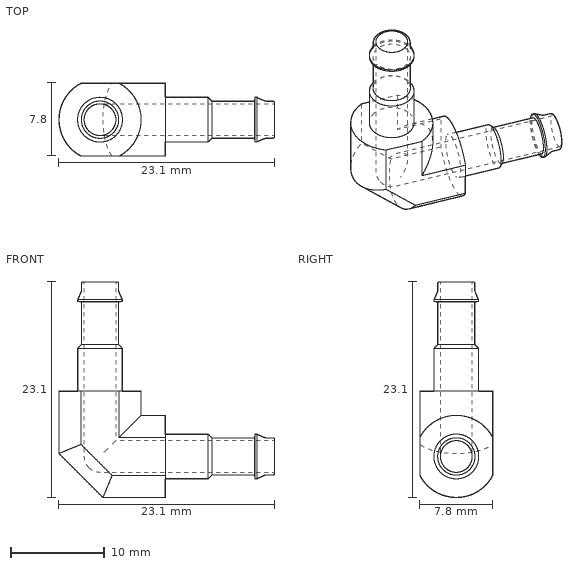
import cadquery as cq
import math

LEG_REACH = 23.1
BODY_DIAMETER = 8.8
BODY_WIDTH = 7.8
BODY_LENGTH = 11.39
CORNER_CUT = 4.71
BORE_DIAMETER = 3.4

COLLAR_DIAMETER = 4.8
COLLAR_END = 16.38
TUBE_DIAMETER = 4.0
BARB_DIAMETER = 4.8
BARB_FRONT = 1.02
BARB_CREST = 1.92
BARB_BACK = 2.1
BARB_FOOT = 2.17
BARB_BLEND = 0.5
TIP_ROUND = 0.2

AXIS = BODY_DIAMETER / 2
TUBE_RADIUS = TUBE_DIAMETER / 2
COLLAR_RADIUS = COLLAR_DIAMETER / 2
BARB_RADIUS = BARB_DIAMETER / 2
COLLAR_CHAMFER = COLLAR_RADIUS - TUBE_RADIUS


def swap_legs(shape):
    """Mirror a shape about the plane X = Z, exchanging the two legs."""
    return shape.mirror(cq.Vector(1, 0, -1))


def body_bar(start, direction, length, outline):
    """Flatted round bar, clipped to an outline in the XZ plane."""
    bar = cq.Solid.makeCylinder(AXIS, length, cq.Vector(*start), cq.Vector(*direction))
    clip = cq.Workplane("XZ").polyline(outline).close().extrude(BODY_WIDTH / 2, both=True)
    return clip.intersect(cq.Workplane(bar))


def make_body():
    """Two legs mitred together and to a diagonal bar at the outer corner."""
    diagonal_sum = CORNER_CUT + AXIS * math.sqrt(2)
    axis_crossing = diagonal_sum - AXIS
    upright = body_bar(
        (AXIS, 0, 0),
        (0, 0, 1),
        BODY_LENGTH,
        [
            (0, CORNER_CUT),
            (0, BODY_LENGTH),
            (BODY_DIAMETER, BODY_LENGTH),
            (BODY_DIAMETER, BODY_DIAMETER),
            (diagonal_sum / 2, diagonal_sum / 2),
            (AXIS, axis_crossing),
        ],
    )
    diagonal = body_bar(
        (-BODY_LENGTH, 0, diagonal_sum + BODY_LENGTH),
        (1, 0, -1),
        4 * BODY_LENGTH,
        [(0, CORNER_CUT), (AXIS, axis_crossing), (axis_crossing, AXIS), (CORNER_CUT, 0)],
    )
    level = cq.Workplane(swap_legs(upright.val()))
    return upright.union(level).union(diagonal)


def make_nozzle():
    """Upright nozzle: chamfered collar, tube, barb and rounded tip."""
    cone_angle = math.atan2(BARB_RADIUS - TUBE_RADIUS, BARB_CREST - BARB_FRONT)
    blend_length = BARB_BLEND * math.tan(cone_angle / 2)
    blend_center = (TUBE_RADIUS + BARB_BLEND, LEG_REACH - BARB_FRONT + blend_length)

    def blend_point(angle):
        return (
            blend_center[0] - BARB_BLEND * math.cos(angle),
            blend_center[1] - BARB_BLEND * math.sin(angle),
        )

    diagonal_inset = TIP_ROUND * (1 - math.sqrt(0.5))
    profile = (
        cq.Workplane("XZ")
        .moveTo(0, BODY_LENGTH)
        .lineTo(COLLAR_RADIUS, BODY_LENGTH)
        .lineTo(COLLAR_RADIUS, COLLAR_END - COLLAR_CHAMFER)
        .lineTo(TUBE_RADIUS, COLLAR_END)
        .lineTo(TUBE_RADIUS, LEG_REACH - BARB_FOOT)
        .lineTo(BARB_RADIUS, LEG_REACH - BARB_BACK)
        .lineTo(BARB_RADIUS, LEG_REACH - BARB_CREST)
        .lineTo(*blend_point(cone_angle))
        .threePointArc(blend_point(cone_angle / 2), blend_point(0))
        .lineTo(TUBE_RADIUS, LEG_REACH - TIP_ROUND)
        .threePointArc(
            (TUBE_RADIUS - diagonal_inset, LEG_REACH - diagonal_inset),
            (TUBE_RADIUS - TIP_ROUND, LEG_REACH),
        )
        .lineTo(0, LEG_REACH)
        .close()
    )
    return profile.revolve(360, (0, 0), (0, 1)).translate((AXIS, 0, 0))


def make_bore():
    """Bores along both leg axes, joined by a ball at the elbow."""
    radius = BORE_DIAMETER / 2
    upright = cq.Workplane("XY", origin=(AXIS, 0, AXIS)).circle(radius).extrude(LEG_REACH - AXIS)
    level = cq.Workplane(swap_legs(upright.val()))
    elbow = cq.Workplane("XY").sphere(radius).translate((AXIS, 0, AXIS))
    return upright.union(level).union(elbow)


nozzle = make_nozzle()
level_nozzle = cq.Workplane(swap_legs(nozzle.val()))
result = make_body().union(nozzle).union(level_nozzle).cut(make_bore())